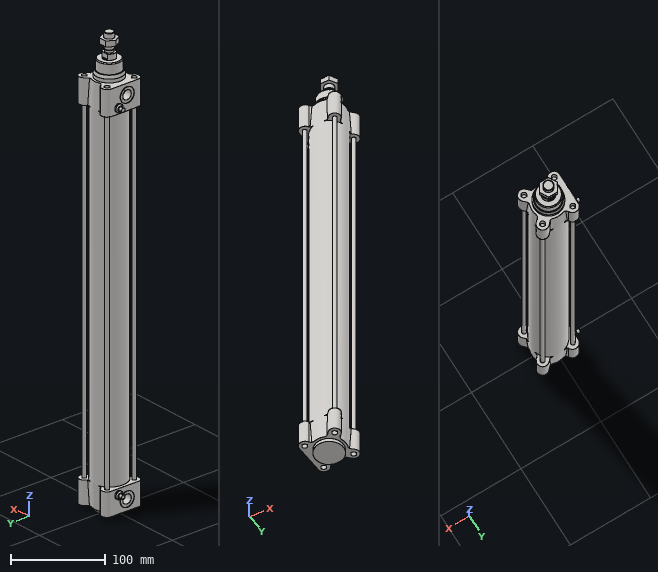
import cadquery as cq
import math


OVERALL_LENGTH = 563.0
ROD_END_LENGTH = 53.0
NECK_TO_TIP = 31.0
SHOULDER_TO_TIP = 23.5
NUT_TO_TIP = 7.0
ROD_HEAD_HEIGHT = 32.5
CAP_HEAD_HEIGHT = 30.5
SPIGOT_HEIGHT = 4.5

TOP_Z = OVERALL_LENGTH / 2
BOTTOM_Z = -OVERALL_LENGTH / 2
NECK_TOP_Z = TOP_Z - NECK_TO_TIP
ROD_SHOULDER_Z = TOP_Z - SHOULDER_TO_TIP
ROD_HEAD_TOP_Z = TOP_Z - ROD_END_LENGTH
ROD_HEAD_BOTTOM_Z = ROD_HEAD_TOP_Z - ROD_HEAD_HEIGHT
CAP_HEAD_BOTTOM_Z = BOTTOM_Z + SPIGOT_HEIGHT
CAP_HEAD_TOP_Z = CAP_HEAD_BOTTOM_Z + CAP_HEAD_HEIGHT

HEAD_HALF = 26.0
TIE_ROD_PITCH = 38.0
LOBE_OFFSET = TIE_ROD_PITCH / 2
LOBE_RADIUS = HEAD_HALF - LOBE_OFFSET
PORT_BLOCK_DEPTH = 14.5
PORT_BLOCK_FILLET = 7.0
WAIST_HALF = 21.0
WAIST_DRAFT = 2.5
COLLAR_DIAMETER = 35.0
CORNER_HOLE_DIAMETER = 6.0
CORNER_HOLE_DEPTH = 8.5

TUBE_DIAMETER = 44.0
TIE_ROD_DIAMETER = 5.2

COLLAR_HEIGHT = 4.5
COLLAR_TAPER_HEIGHT = 4.0
COLLAR_TAPER_DIAMETER = 32.0
NECK_DIAMETER = 30.0
NECK_CHAMFER = 1.0

PORT_Y = -3.5
PORT_FROM_OUTER_FACE = 14.0
PORT_DIAMETER = 12.0
PORT_DEPTH = 11.0
PORT_SEAT_DIAMETER = 19.0
PORT_SEAT_DEPTH = 0.5
CUSHION_SCREW_Y = 9.0
CUSHION_SCREW_FROM_INNER_FACE = 7.5
CUSHION_SCREW_BASE_DIAMETER = 10.0
CUSHION_SCREW_BASE_LENGTH = 3.5
CUSHION_SCREW_BASE_CHAMFER = 1.5
CUSHION_SCREW_TIP_DIAMETER = 5.0
CUSHION_SCREW_LENGTH = 8.0

ROD_DIAMETER = 16.0
ROD_FLATS_WIDTH = 13.0
FLATS_ABOVE_NECK = 1.0
ROD_FLATS_BOTTOM_Z = NECK_TOP_Z + FLATS_ABOVE_NECK
UNDERCUT_DIAMETER = 10.0
UNDERCUT_HEIGHT = 3.5
THREAD_DIAMETER = 12.0
THREAD_CHAMFER = 0.5

NUT_ACROSS_FLATS = 19.0
NUT_HEIGHT = 7.5
NUT_BOTTOM_Z = TOP_Z - NUT_TO_TIP - NUT_HEIGHT


def cylinder(diameter, bottom_z, top_z):
    """Upright cylinder on the Z axis."""
    return cq.Workplane("XY").workplane(offset=bottom_z).circle(diameter / 2).extrude(top_z - bottom_z)


def corner_points():
    """Centres of the four tie rods, which are also the centres of the head corners."""
    return [(x, y) for x in (-LOBE_OFFSET, LOBE_OFFSET) for y in (-LOBE_OFFSET, LOBE_OFFSET)]


def head(inner_z, height):
    """Head built from its tube-side face at inner_z; a negative height goes downward."""
    plane = cq.Workplane("XY").workplane(offset=inner_z)

    body = plane.rect(2 * WAIST_HALF, 2 * WAIST_HALF).extrude(height, taper=WAIST_DRAFT)
    bulge = plane.circle(TUBE_DIAMETER / 2).extrude(height, taper=WAIST_DRAFT)
    body = body.union(bulge)

    arm_length = 2 * math.hypot(LOBE_OFFSET, LOBE_OFFSET) + 2 * LOBE_RADIUS
    for angle in (45, -45):
        arm = plane.slot2D(arm_length, 2 * LOBE_RADIUS, angle).extrude(height)
        body = body.union(arm)

    port_block = (
        plane.center(-HEAD_HALF + PORT_BLOCK_DEPTH / 2, 0)
        .rect(PORT_BLOCK_DEPTH, 2 * HEAD_HALF)
        .extrude(height)
    )
    port_block = port_block.edges("|Z and <X").fillet(LOBE_RADIUS)
    port_block = port_block.edges("|Z and >X").fillet(PORT_BLOCK_FILLET)
    return body.union(port_block)


def port_cutter(z):
    """Inlet bore with a shallow round seat, entering from the -X face."""
    face = cq.Workplane("YZ", origin=(-HEAD_HALF, PORT_Y, z))
    bore = face.circle(PORT_DIAMETER / 2).extrude(PORT_DEPTH)
    seat = face.circle(PORT_SEAT_DIAMETER / 2).extrude(PORT_SEAT_DEPTH)
    return bore.union(seat)


def cushion_screw(z):
    """Chamfered base with a thinner tip, standing out of the -X face."""
    face = cq.Workplane("YZ", origin=(-HEAD_HALF, CUSHION_SCREW_Y, z))
    base = face.circle(CUSHION_SCREW_BASE_DIAMETER / 2).extrude(-CUSHION_SCREW_BASE_LENGTH)
    base = base.faces("<X").chamfer(CUSHION_SCREW_BASE_CHAMFER)
    tip = face.circle(CUSHION_SCREW_TIP_DIAMETER / 2).extrude(-CUSHION_SCREW_LENGTH)
    return base.union(tip)


def corner_holes(face_z, depth):
    """Four corner holes starting at face_z; a negative depth goes downward."""
    plane = cq.Workplane("XY").workplane(offset=face_z)
    return plane.pushPoints(corner_points()).circle(CORNER_HOLE_DIAMETER / 2).extrude(depth)


def rod_collar():
    """Stepped collar on top of the rod-side head."""
    taper_bottom_z = ROD_HEAD_TOP_Z + COLLAR_HEIGHT
    taper = (
        cq.Workplane("XY")
        .workplane(offset=taper_bottom_z)
        .circle(COLLAR_DIAMETER / 2)
        .workplane(offset=COLLAR_TAPER_HEIGHT)
        .circle(COLLAR_TAPER_DIAMETER / 2)
        .loft()
    )
    neck = cylinder(NECK_DIAMETER, ROD_HEAD_TOP_Z, NECK_TOP_Z).faces(">Z").chamfer(NECK_CHAMFER)
    return cylinder(COLLAR_DIAMETER, ROD_HEAD_TOP_Z, taper_bottom_z).union(taper).union(neck)


def make_housing():
    """Both heads, the tube and the tie rods."""
    body = cylinder(TUBE_DIAMETER, CAP_HEAD_TOP_Z, ROD_HEAD_BOTTOM_Z)
    tie_rods = (
        cq.Workplane("XY")
        .workplane(offset=CAP_HEAD_TOP_Z)
        .pushPoints(corner_points())
        .circle(TIE_ROD_DIAMETER / 2)
        .extrude(ROD_HEAD_BOTTOM_Z - CAP_HEAD_TOP_Z)
    )
    rod_head = head(ROD_HEAD_BOTTOM_Z, ROD_HEAD_HEIGHT)
    cap_head = head(CAP_HEAD_TOP_Z, -CAP_HEAD_HEIGHT)
    body = body.union(rod_head).union(cap_head).union(tie_rods)

    spigot = cylinder(COLLAR_DIAMETER, BOTTOM_Z, CAP_HEAD_BOTTOM_Z)
    body = body.union(rod_collar()).union(spigot)

    for outer_z, inner_z, outward in (
        (ROD_HEAD_TOP_Z, ROD_HEAD_BOTTOM_Z, 1),
        (CAP_HEAD_BOTTOM_Z, CAP_HEAD_TOP_Z, -1),
    ):
        body = body.cut(port_cutter(outer_z - outward * PORT_FROM_OUTER_FACE))
        body = body.cut(corner_holes(outer_z, -outward * CORNER_HOLE_DEPTH))
        body = body.union(cushion_screw(inner_z + outward * CUSHION_SCREW_FROM_INNER_FACE))

    return body.cut(cylinder(ROD_DIAMETER, ROD_HEAD_BOTTOM_Z, NECK_TOP_Z))


def make_piston_rod():
    """Rod with wrench flats, an undercut and a chamfered thread end."""
    rod = cylinder(ROD_DIAMETER, ROD_HEAD_BOTTOM_Z, ROD_SHOULDER_Z)
    flats_height = ROD_SHOULDER_Z - ROD_FLATS_BOTTOM_Z
    flats_zone = cylinder(2 * ROD_DIAMETER, ROD_FLATS_BOTTOM_Z, ROD_SHOULDER_Z)
    tongue = (
        cq.Workplane("XY")
        .workplane(offset=ROD_FLATS_BOTTOM_Z)
        .rect(2 * ROD_DIAMETER, ROD_FLATS_WIDTH)
        .extrude(flats_height)
    )
    rod = rod.cut(flats_zone.cut(tongue))
    thread_bottom_z = ROD_SHOULDER_Z + UNDERCUT_HEIGHT
    thread = cylinder(THREAD_DIAMETER, thread_bottom_z, TOP_Z).faces(">Z").chamfer(THREAD_CHAMFER)
    undercut = cylinder(UNDERCUT_DIAMETER, ROD_SHOULDER_Z, thread_bottom_z)
    return rod.union(undercut).union(thread)


def make_lock_nut():
    """Hexagon nut on the thread, with two corners along X."""
    across_corners = NUT_ACROSS_FLATS / math.cos(math.pi / 6)
    plane = cq.Workplane("XY").workplane(offset=NUT_BOTTOM_Z)
    blank = plane.polygon(6, across_corners).extrude(NUT_HEIGHT)
    return blank.cut(cylinder(THREAD_DIAMETER, NUT_BOTTOM_Z, NUT_BOTTOM_Z + NUT_HEIGHT))


housing = make_housing()
piston_rod = make_piston_rod()
lock_nut = make_lock_nut()

result = cq.Compound.makeCompound([housing.val(), piston_rod.val(), lock_nut.val()])